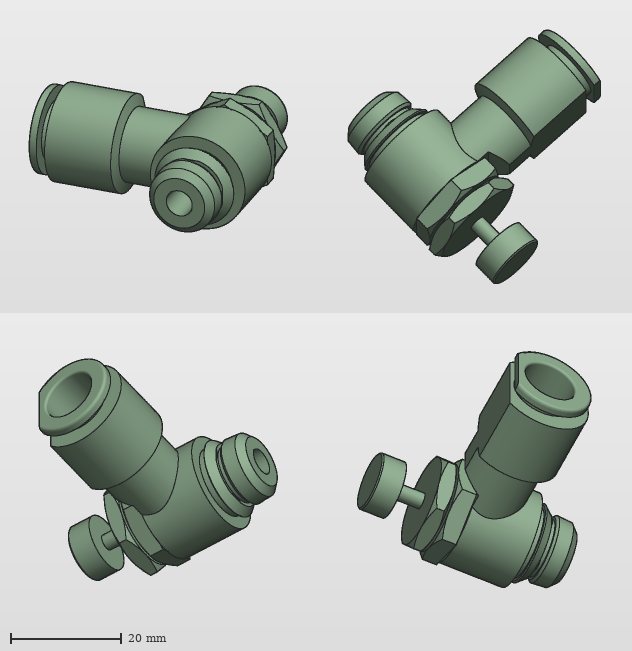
import cadquery as cq
import math


HEX_ACROSS_CORNERS = 19.65
HEX_CORNER_R = HEX_ACROSS_CORNERS / 2
HEX_SIDES = 6
HEX_PITCH = 360 / HEX_SIDES
HEX_CHAMFER_ANGLE = 30
HEX_FLAT_R = HEX_CORNER_R * math.cos(math.radians(HEX_PITCH / 2))
HEX_CHAMFER_RISE = (HEX_CORNER_R - HEX_FLAT_R) * math.tan(math.radians(HEX_CHAMFER_ANGLE))

BARREL_R = 9.25
BARREL_BOTTOM_Y = -10.0
BARREL_TOP_Y = 2.95
HEX_TOP_Y = 6.5

OVERALL_LENGTH = 43.7
TUBE_END_X = HEX_CORNER_R - OVERALL_LENGTH
FLANGE_BACK_X = -32.3
SLEEVE_START_X = -30.3
SLEEVE_END_X = -17.35
PIPE_START_X = -16.6
FLANGE_R = 8.3
FLANGE_ROUND = 0.55
COLLET_NECK_R = 5.73
SLEEVE_R = 9.25
PIPE_R = 7.05
RELIEF_TOP_X = -11.3
RELIEF_FOOT_X = -9.35

TUBE_BORE_R = 5.0
TUBE_BORE_ROUND = 0.5
FLOW_BORE_R = 2.55
FLOW_BEND_R = 3.95

SHANK_R = 6.8
SEAL_TOP_Y = -11.45
SEAL_RIM_Y = -11.67
SEAL_FLOOR_Y = -13.3
SEAL_LIP_Y = -13.5
SEAL_TOP_R = 7.45
SEAL_RIM_R = 7.75
SEAL_LIP_R = 6.15
GROOVE_R = 5.65
GROOVE_BOTTOM_Y = -14.2
THREAD_TOP_Y = -14.75
THREAD_TAPER_END_Y = -17.6
END_Y = -19.0
THREAD_RELIEF_R = 6.1
THREAD_TOP_R = 6.6
THREAD_END_R = 6.4
END_FACE_R = 5.0

STEM_R = 1.55
NUT_BOTTOM_Y = 6.95
NUT_TOP_Y = 9.95
KNOB_BOTTOM_Y = 15.55
KNOB_TOP_Y = 20.37
KNOB_R = 5.5
KNOB_CHAMFER = 0.25


def cylinder_y(radius, start_y, end_y):
    """Cylinder on the valve axis between two Y positions."""
    return cq.Workplane("XZ", origin=(0, start_y, 0)).circle(radius).extrude(start_y - end_y)


def revolve_y(points):
    """Solid of revolution about the valve axis from (radius, y) points."""
    return cq.Workplane("XY").polyline(points).close().revolve(360, (0, 0), (0, 1))


def hex_prism(start_y, end_y, corner_angle, chamfer_start):
    """Hexagon on the valve axis with chamfered corners; the first corner is corner_angle degrees from +X."""
    corners = []
    for i in range(HEX_SIDES):
        angle = math.radians(corner_angle + HEX_PITCH * i)
        corners.append((HEX_CORNER_R * math.cos(angle), HEX_CORNER_R * math.sin(angle)))
    prism = cq.Workplane("XZ", origin=(0, start_y, 0)).polyline(corners).close().extrude(start_y - end_y)

    if chamfer_start:
        start_edge = [(HEX_FLAT_R, start_y), (HEX_CORNER_R, start_y + HEX_CHAMFER_RISE)]
    else:
        start_edge = [(HEX_CORNER_R, start_y)]
    end_edge = [(HEX_CORNER_R, end_y - HEX_CHAMFER_RISE), (HEX_FLAT_R, end_y)]
    envelope = [(0, start_y), *start_edge, *end_edge, (0, end_y)]
    return prism.intersect(revolve_y(envelope))


def make_connector():
    """Release collet, sleeve and pipe on the tube axis, relieved beside the hexagon."""
    turned = (
        cq.Workplane("XY")
        .moveTo(TUBE_END_X, 0)
        .lineTo(TUBE_END_X, FLANGE_R - FLANGE_ROUND)
        .radiusArc((TUBE_END_X + FLANGE_ROUND, FLANGE_R), FLANGE_ROUND)
        .lineTo(FLANGE_BACK_X, FLANGE_R)
        .lineTo(FLANGE_BACK_X, COLLET_NECK_R)
        .lineTo(SLEEVE_START_X, COLLET_NECK_R)
        .lineTo(SLEEVE_START_X, SLEEVE_R)
        .lineTo(SLEEVE_END_X, SLEEVE_R)
        .lineTo(PIPE_START_X, PIPE_R)
        .lineTo(0, PIPE_R)
        .lineTo(0, 0)
        .close()
        .revolve(360, (0, 0), (1, 0))
    )
    relief_outline = [
        (TUBE_END_X, HEX_TOP_Y),
        (RELIEF_TOP_X, HEX_TOP_Y),
        (RELIEF_FOOT_X, BARREL_TOP_Y),
        (0, BARREL_TOP_Y),
        (0, SLEEVE_R),
        (TUBE_END_X, SLEEVE_R),
    ]
    relief = cq.Workplane("XY").polyline(relief_outline).close().extrude(SLEEVE_R, both=True)
    return turned.cut(relief)


def make_threaded_end():
    """Shank, conical seal, groove and tapered thread below the barrel."""
    turned = revolve_y([
        (0, BARREL_BOTTOM_Y),
        (SHANK_R, BARREL_BOTTOM_Y),
        (SHANK_R, SEAL_TOP_Y),
        (SEAL_TOP_R, SEAL_TOP_Y),
        (SEAL_RIM_R, SEAL_RIM_Y),
        (SEAL_LIP_R, SEAL_LIP_Y),
        (GROOVE_R, SEAL_LIP_Y),
        (GROOVE_R, GROOVE_BOTTOM_Y),
        (THREAD_RELIEF_R, GROOVE_BOTTOM_Y),
        (THREAD_TOP_R, THREAD_TOP_Y),
        (THREAD_END_R, THREAD_TAPER_END_Y),
        (END_FACE_R, END_Y),
        (0, END_Y),
    ])
    recess_depth = SEAL_FLOOR_Y - SEAL_LIP_Y
    recess = (
        cq.Workplane("XZ", origin=(0, SEAL_FLOOR_Y, 0))
        .rect(2 * SEAL_LIP_R, 2 * SEAL_LIP_R)
        .circle(GROOVE_R)
        .extrude(recess_depth)
    )
    return turned.cut(recess)


def make_passages():
    """Tube socket with a rounded mouth, and the flow bore that turns from X to -Y."""
    socket = (
        cq.Workplane("XY")
        .moveTo(TUBE_END_X, 0)
        .lineTo(TUBE_END_X, TUBE_BORE_R + TUBE_BORE_ROUND)
        .radiusArc((TUBE_END_X + TUBE_BORE_ROUND, TUBE_BORE_R), -TUBE_BORE_ROUND)
        .lineTo(SLEEVE_END_X, TUBE_BORE_R)
        .lineTo(SLEEVE_END_X, 0)
        .close()
        .revolve(360, (0, 0), (1, 0))
    )
    flow_path = (
        cq.Workplane("XY")
        .moveTo(SLEEVE_END_X, 0)
        .lineTo(-FLOW_BEND_R, 0)
        .radiusArc((0, -FLOW_BEND_R), FLOW_BEND_R)
        .lineTo(0, END_Y)
    )
    flow_bore = cq.Workplane("YZ", origin=(SLEEVE_END_X, 0, 0)).circle(FLOW_BORE_R).sweep(flow_path)
    return socket.union(flow_bore)


def make_housing():
    barrel = cylinder_y(BARREL_R, BARREL_BOTTOM_Y, BARREL_TOP_Y)
    barrel_hex = hex_prism(BARREL_TOP_Y, HEX_TOP_Y, corner_angle=HEX_PITCH / 2, chamfer_start=False)
    outside = barrel.union(make_connector()).union(barrel_hex).union(make_threaded_end())
    return outside.cut(make_passages())


def make_adjusting_screw():
    """Stem with knob and lock nut, standing on the top face of the hexagon."""
    stem = cylinder_y(STEM_R, HEX_TOP_Y, KNOB_BOTTOM_Y)
    nut = hex_prism(NUT_BOTTOM_Y, NUT_TOP_Y, corner_angle=0, chamfer_start=True)
    knob = cylinder_y(KNOB_R, KNOB_BOTTOM_Y, KNOB_TOP_Y).faces(">Y").chamfer(KNOB_CHAMFER)
    return stem.union(nut).union(knob)


housing = make_housing()
adjusting_screw = make_adjusting_screw()

result = cq.Compound.makeCompound([housing.val(), adjusting_screw.val()])